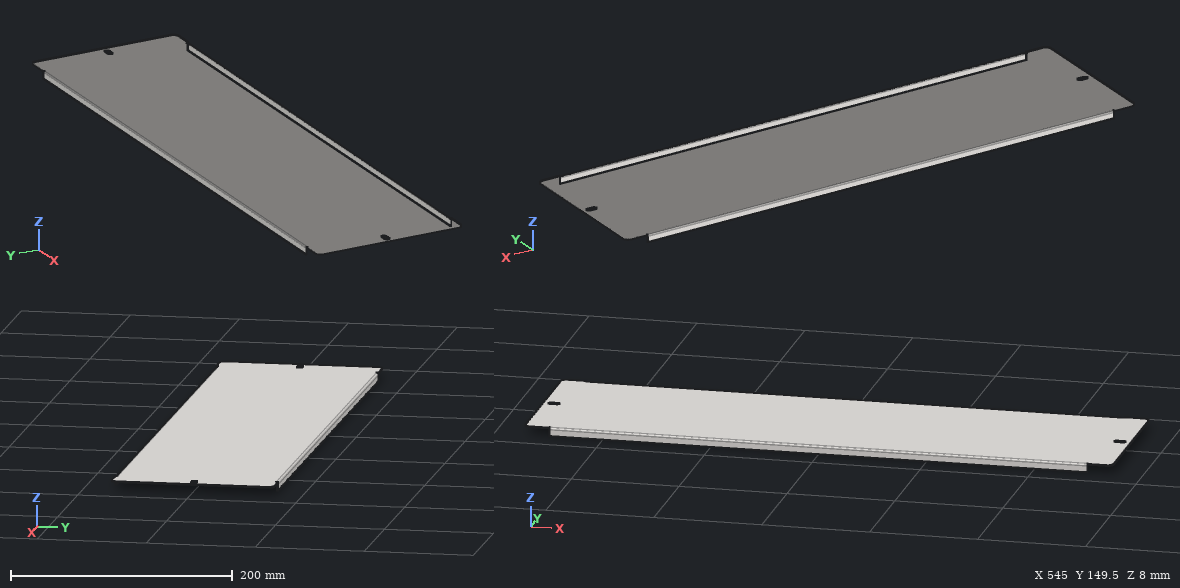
import cadquery as cq

length = 545.0
width = 149.5
height = 8.0

thickness = 1.0
bend_radius = 2.0
corner_radius = 5.5

end_inset = 23.5
flange_length = length - 2 * end_inset

slot_length = 10.5
slot_width = 5.0
slot_inset = 10.5


def make_plate():
    """Flat sheet with rounded corners, its top face at Z = 0."""
    return (
        cq.Workplane("XY")
        .box(length, width, thickness, centered=(True, True, False))
        .edges("|Z")
        .fillet(corner_radius)
        .translate((0, 0, -thickness))
    )


def make_channel():
    """Middle stretch of the sheet, with both long edges bent down."""
    outer = (
        cq.Workplane("XY")
        .box(flange_length, width, height, centered=(True, True, False))
        .translate((0, 0, -height))
        .edges("|X and >Z")
        .fillet(bend_radius)
    )
    inner_height = height - thickness
    inner = (
        cq.Workplane("XY")
        .box(flange_length, width - 2 * thickness, inner_height, centered=(True, True, False))
        .translate((0, 0, -height))
        .edges("|X and >Z")
        .fillet(bend_radius - thickness)
    )
    return outer.cut(inner)


def make_slots():
    """Cutters for the round-ended slot at each end."""
    slot_x = length / 2 - slot_inset
    return (
        cq.Workplane("XY")
        .pushPoints([(-slot_x, 0), (slot_x, 0)])
        .slot2D(slot_length, slot_width)
        .extrude(-thickness)
    )


middle = cq.Workplane("XY").box(flange_length, width, 2 * thickness)
result = make_plate().cut(middle).union(make_channel()).cut(make_slots())